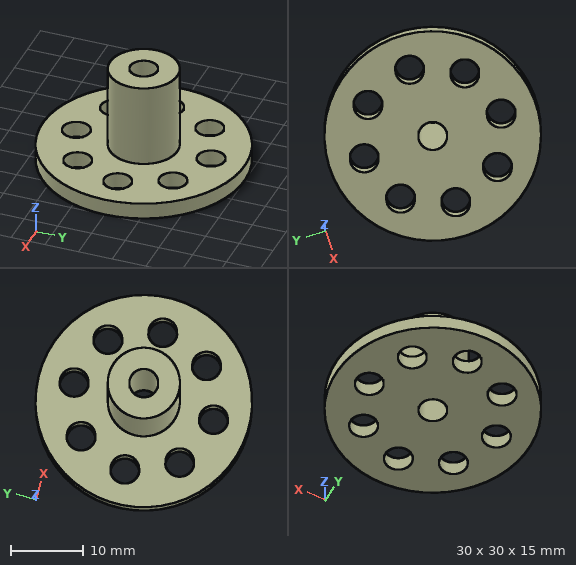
import cadquery as cq

flange_diameter = 30.0
flange_thickness = 2.5
total_height = 15.0
hub_diameter = flange_diameter / 3
hole_diameter = 4.0
hole_count = 8
hole_circle_diameter = 2 * hub_diameter

flange = cq.Workplane("XY").circle(flange_diameter / 2).extrude(flange_thickness)

hub = cq.Workplane("XY").circle(hub_diameter / 2).extrude(total_height)

bore = cq.Workplane("XY").circle(hole_diameter / 2).extrude(total_height)

flange_holes = (
    cq.Workplane("XY")
    .polarArray(hole_circle_diameter / 2, 0, 360, hole_count)
    .circle(hole_diameter / 2)
    .extrude(flange_thickness)
)

result = flange.union(hub).cut(bore).cut(flange_holes)